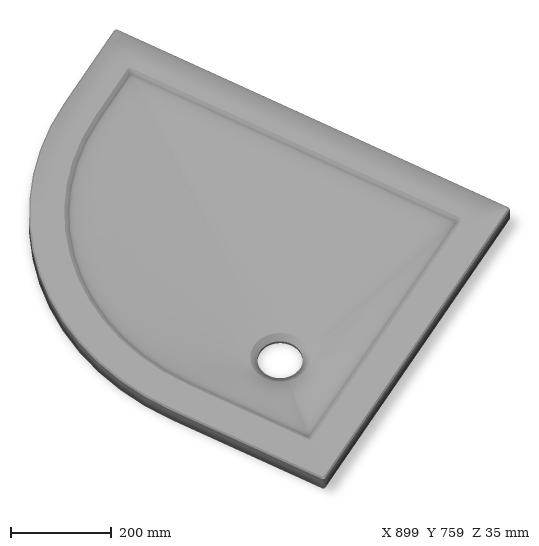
import cadquery as cq
import math

length = 899.0
width = 759.0
height = 35.0
bow_radius = 550.0
corner_radius = 4.5
edge_bevel = 3.15

rim_inner_offset = 70.0
floor_edge_offset = 80.0
rim_outer_corner_radius = 8.0
basin_corner_radius = 4.5
rim_inner_z = 34.0
floor_edge_z = 28.0

drain_x = 671.0
drain_y = 229.0
drain_mouth_radius = 59.0
drain_hole_radius = 45.0
drain_mouth_z = 14.0
drain_seat_z = 6.0


def outline_edges(offset, corner, z):
    """Quadrant outline inset by offset: straight sides, three rounded corners, one large bow."""
    x0 = offset
    y0 = offset
    x1 = length - offset
    y1 = width - offset
    turns = [
        (x1 - corner, y0 + corner, corner, -90),
        (x1 - corner, y1 - corner, corner, 0),
        (x0 + corner, y1 - corner, corner, 90),
        (bow_radius, bow_radius, bow_radius - offset, 180),
    ]
    arcs = [arc_edge(*turn, 90, z) for turn in turns]
    edges = []
    for arc, following in zip(arcs, arcs[1:] + arcs[:1]):
        edges.append(arc)
        edges.append(cq.Edge.makeLine(arc.endPoint(), following.startPoint()))
    return edges


def arc_edge(x, y, radius, start, sweep, z):
    """Counter-clockwise arc in a horizontal plane."""
    points = []
    for angle in (start, start + sweep / 2, start + sweep):
        a = math.radians(angle)
        points.append(cq.Vector(x + radius * math.cos(a), y + radius * math.sin(a), z))
    return cq.Edge.makeThreePointArc(*points)


def drain_mouth_edges(floor_edges):
    """Outlet circle divided in proportion to the lengths of the floor edges."""
    perimeter = sum(edge.Length() for edge in floor_edges)
    angle = -45
    arcs = []
    for edge in floor_edges:
        sweep = 360 * edge.Length() / perimeter
        arcs.append(arc_edge(drain_x, drain_y, drain_mouth_radius, angle, sweep, drain_mouth_z))
        angle += sweep
    return arcs


def ruled_solid(upper_edges, lower_edges):
    """Closed solid with one ruled side face per pair of edges and flat ends."""
    sides = [cq.Face.makeRuledSurface(a, b) for a, b in zip(upper_edges, lower_edges)]
    ends = [cq.Face.makeFromWires(cq.Wire.assembleEdges(e)) for e in (upper_edges, lower_edges)]
    solid = cq.Solid.makeSolid(cq.Shell.makeShell(sides + ends))
    return solid.fix()


wall_bottom = outline_edges(0, corner_radius, 0)
wall_top = outline_edges(0, corner_radius, height - edge_bevel)
rim_outer = outline_edges(edge_bevel, rim_outer_corner_radius, height)
slab = cq.Workplane(ruled_solid(wall_top, wall_bottom))
slab = slab.union(cq.Workplane(ruled_solid(rim_outer, wall_top)))

rim_inner = outline_edges(rim_inner_offset, basin_corner_radius, rim_inner_z)
floor_edge = outline_edges(floor_edge_offset, basin_corner_radius, floor_edge_z)
drain_mouth = drain_mouth_edges(floor_edge)

result = slab
for upper, lower in ((rim_outer, rim_inner), (rim_inner, floor_edge), (floor_edge, drain_mouth)):
    result = result.cut(cq.Workplane(ruled_solid(upper, lower)))

drain_axis = cq.Vector(0, 0, -1)
seat = cq.Solid.makeCone(
    drain_mouth_radius,
    drain_hole_radius,
    drain_mouth_z - drain_seat_z,
    cq.Vector(drain_x, drain_y, drain_mouth_z),
    drain_axis,
)
hole = cq.Solid.makeCylinder(drain_hole_radius, height, cq.Vector(drain_x, drain_y, 0))
result = result.cut(cq.Workplane(seat)).cut(cq.Workplane(hole))